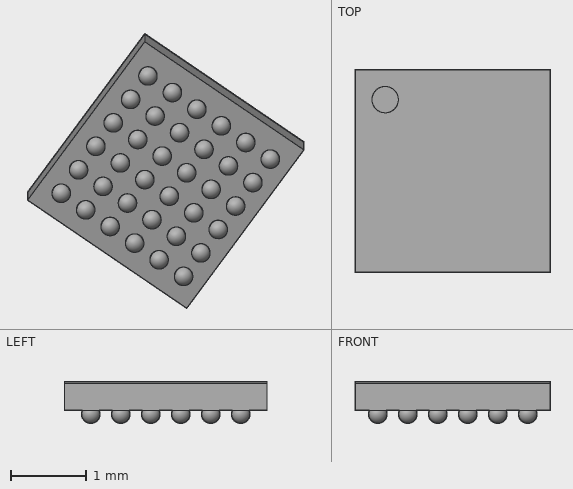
import cadquery as cq

length_y = 2.7
width_x = 2.6
total_height = 0.56

film_thickness = 0.03
ball_drop = 0.175
case_height = total_height - film_thickness - ball_drop

ball_radius = 0.125
ball_pitch = 0.4
balls_per_side = 6

mark_radius = 0.175
mark_inset = 0.4

ball_center_z = ball_radius - ball_drop
film_bottom_z = case_height


def make_slab(bottom_z, thickness):
    """A plate with the package outline."""
    return (
        cq.Workplane("XY")
        .workplane(offset=bottom_z)
        .rect(width_x, length_y)
        .extrude(thickness)
    )


def make_balls():
    """Solder balls in a square grid, each a full sphere partly sunk in the case."""
    return (
        cq.Workplane("XY")
        .workplane(offset=ball_center_z)
        .rarray(ball_pitch, ball_pitch, balls_per_side, balls_per_side)
        .sphere(ball_radius, combine=False)
    )


def make_case():
    """The package case with its solder balls as one solid."""
    return make_slab(0, case_height).union(make_balls())


def make_film():
    """The thin top film with the pin-one window cut through to the case."""
    mark_x = -width_x / 2 + mark_inset
    mark_y = length_y / 2 - mark_inset
    window = (
        cq.Workplane("XY")
        .workplane(offset=film_bottom_z)
        .center(mark_x, mark_y)
        .circle(mark_radius)
        .extrude(film_thickness)
    )
    return make_slab(film_bottom_z, film_thickness).cut(window)


case = make_case()
film = make_film()

result = cq.Compound.makeCompound([case.val(), film.val()])